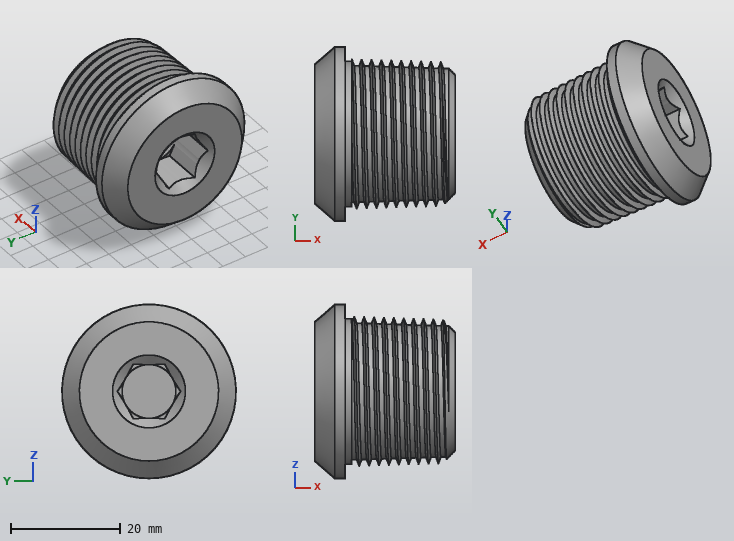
import cadquery as cq
import math


total_length = 25.77
bevel_length = 3.7
head_length = 5.6
collar_end = 6.75

head_diameter = 31.92
face_diameter = 25.5
collar_diameter = 26.7

inch = 25.4
pitch = inch / 14
taper_angle = math.atan(1 / 32)
thread_depth = 0.64 * pitch
tooth_width = pitch / 2
tooth_overlap = 0.3
first_crest = 7.25
tip_chamfer = 1.2
tip_root_radius = 12.0

socket_corners = 6
socket_across_flats = 10.0
socket_half_step = math.pi / socket_corners
socket_corner_diameter = socket_across_flats / math.cos(socket_half_step)
socket_corner_angle = 115
socket_depth = 9.0
drill_diameter = 9.85
drill_depth = 10.0
countersink_diameter = 13.35
countersink_angle = 90

chamfer_start = total_length - tip_chamfer
tip_face_radius = tip_root_radius - tip_chamfer


def root_radius(station):
    """Radius of the tapered thread root at an axial station."""
    return tip_root_radius + (chamfer_start - station) * math.tan(taper_angle)


def revolve_about_axis(points):
    """Revolve a closed (radius, station) outline about the Z axis."""
    return cq.Workplane("XZ").polyline(points).close().revolve(360, (0, 0), (0, 1))


def make_body():
    """Head, collar and tapered shank with a chamfered tip."""
    return revolve_about_axis([
        (0, 0),
        (face_diameter / 2, 0),
        (head_diameter / 2, bevel_length),
        (head_diameter / 2, head_length),
        (collar_diameter / 2, head_length),
        (collar_diameter / 2, collar_end),
        (root_radius(collar_end), collar_end),
        (tip_root_radius, chamfer_start),
        (tip_face_radius, total_length),
        (0, total_length),
    ])


def make_thread():
    """Right-handed triangular ridge, trimmed at the collar and along the tip chamfer."""
    start = first_crest - pitch
    height = total_length - start
    start_radius = root_radius(start)
    helix = cq.Wire.makeHelix(
        pitch, height, start_radius, cq.Vector(0, 0, start), angle=-math.degrees(taper_angle)
    )
    flank_slope = tooth_width / 2 / thread_depth
    base_half_width = tooth_width / 2 + tooth_overlap * flank_slope
    ridge = (
        cq.Workplane("XZ")
        .polyline([
            (start_radius - tooth_overlap, start - base_half_width),
            (start_radius + thread_depth, start),
            (start_radius - tooth_overlap, start + base_half_width),
        ])
        .close()
        .sweep(cq.Workplane(helix), isFrenet=True)
    )
    ridge = ridge.rotate((0, 0, 0), (0, 0, 1), 180)
    chamfer_extension = total_length - collar_end
    envelope = revolve_about_axis([
        (0, collar_end),
        (tip_face_radius + chamfer_extension, collar_end),
        (tip_face_radius, total_length),
        (0, total_length),
    ])
    return ridge.intersect(envelope)


def make_socket():
    """Six-cornered socket over a deeper round drilling, with a countersunk mouth."""
    drill = cq.Workplane("XY").circle(drill_diameter / 2).extrude(drill_depth)
    corner_radius = socket_corner_diameter / 2
    flank_angle = math.radians(socket_corner_angle / 2)
    valley_radius = corner_radius * math.sin(flank_angle) / math.sin(flank_angle + socket_half_step)
    outline = []
    for index in range(2 * socket_corners):
        radius = valley_radius if index % 2 else corner_radius
        angle = math.radians(90) + socket_half_step * index
        outline.append((radius * math.cos(angle), radius * math.sin(angle)))
    corners = cq.Workplane("XY").polyline(outline).close().extrude(socket_depth)
    mouth_radius = countersink_diameter / 2
    cone_height = mouth_radius / math.tan(math.radians(countersink_angle / 2))
    countersink = revolve_about_axis([(0, 0), (mouth_radius, 0), (0, cone_height)])
    return drill.union(corners).union(countersink)


plug = make_body().cut(make_socket()).union(make_thread())
result = plug.rotate((0, 0, 0), (0, 1, 0), 90)